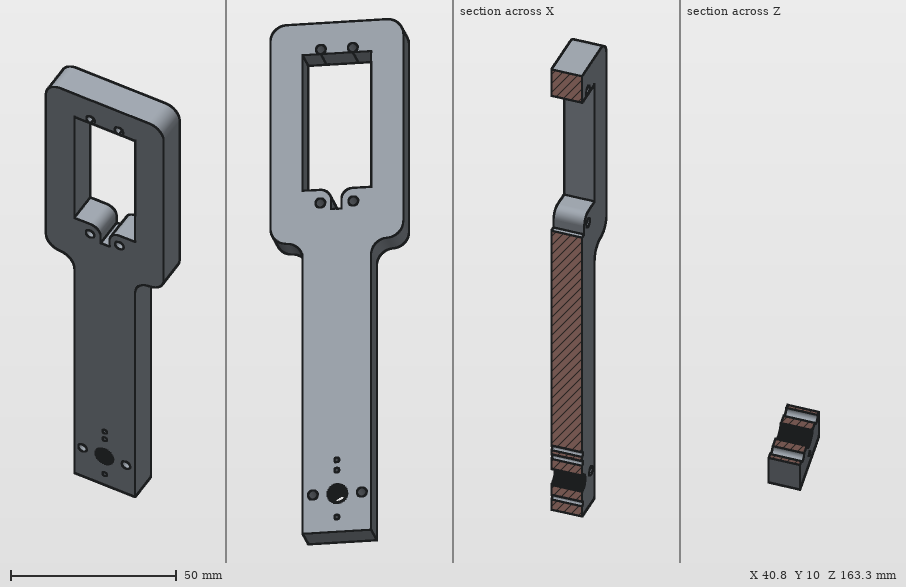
import cadquery as cq
import math

length = 163.3
thickness = 10.0
head_width = 40.8
head_height = 70.0
handle_width = 21.0
corner_radius = 5.0
end_rise = 0.05

window_width = handle_width
window_top = 10.0
window_bottom = 53.4

notch_width = 3.1
notch_offset = 0.2
notch_bottom = 59.8
notch_mouth_radius = 3.5

screw_hole_diameter = 3.0
upper_screw_spacing = 9.8
lower_screw_spacing = 10.1
upper_screw_drop = 8.5
lower_screw_drop = 57.6

drive_height = 12.2
drive_offset = -0.2
drive_root_diameter = 6.0
drive_tip_diameter = 5.4
tooth_count = 30
side_hole_spacing = 15.0
pin_hole_diameter = 1.5
pin_offsets = (-7.5, 7.5, 10.8)


def plate_outline():
    """Front outline of the head and handle, with the origin at the middle of the lower end."""
    half_head = head_width / 2
    half_handle = handle_width / 2
    shoulder = length - head_height
    r = corner_radius
    return (
        cq.Workplane("XZ")
        .moveTo(-half_handle, 0)
        .lineTo(half_handle, 0)
        .lineTo(half_handle, shoulder - r)
        .radiusArc((half_handle + r, shoulder), r)
        .radiusArc((half_head, shoulder + r), -r)
        .lineTo(half_head, length - r)
        .radiusArc((half_head - r, length), -r)
        .lineTo(-half_head + r, length)
        .radiusArc((-half_head, length - r), -r)
        .lineTo(-half_head, shoulder + r)
        .radiusArc((-half_handle - r, shoulder), -r)
        .radiusArc((-half_handle, shoulder - r), r)
        .close()
    )


def window_cutter():
    """Window with the notch below it; the notch mouth is rounded on both sides."""
    half_window = window_width / 2
    left = notch_offset - notch_width / 2
    right = notch_offset + notch_width / 2
    top = length - window_top
    sill = length - window_bottom
    floor = length - notch_bottom
    r = notch_mouth_radius
    return (
        cq.Workplane("XZ")
        .moveTo(-half_window, top)
        .lineTo(half_window, top)
        .lineTo(half_window, sill)
        .lineTo(right + r, sill)
        .radiusArc((right, sill - r), -r)
        .lineTo(right, floor)
        .lineTo(left, floor)
        .lineTo(left, sill - r)
        .radiusArc((left - r, sill), -r)
        .lineTo(-half_window, sill)
        .close()
        .extrude(-thickness)
    )


def round_holes(centres, diameter):
    """Cutters for round through holes at (x, z) centres."""
    return cq.Workplane("XZ").pushPoints(centres).circle(diameter / 2).extrude(-thickness)


def drive_hole():
    """Toothed through hole for a splined shaft."""
    points = []
    for i in range(2 * tooth_count):
        radius = (drive_root_diameter if i % 2 == 0 else drive_tip_diameter) / 2
        angle = math.pi * i / tooth_count
        points.append((drive_offset + radius * math.cos(angle), drive_height + radius * math.sin(angle)))
    return cq.Workplane("XZ").polyline(points).close().extrude(-thickness)


def end_cutter():
    """Thin wedge that slopes the lower end face up towards the front."""
    return (
        cq.Workplane("YZ")
        .polyline([(0, 0), (thickness, 0), (0, end_rise)])
        .close()
        .extrude(handle_width / 2, both=True)
    )


screw_centres = [
    (side * spacing / 2, length - drop)
    for side in (-1, 1)
    for spacing, drop in (
        (upper_screw_spacing, upper_screw_drop),
        (lower_screw_spacing, lower_screw_drop),
    )
]
side_centres = [(drive_offset + side * side_hole_spacing / 2, drive_height) for side in (-1, 1)]
pin_centres = [(0, drive_height + offset) for offset in pin_offsets]

result = (
    plate_outline()
    .extrude(-thickness)
    .cut(window_cutter())
    .cut(round_holes(screw_centres + side_centres, screw_hole_diameter))
    .cut(round_holes(pin_centres, pin_hole_diameter))
    .cut(drive_hole())
    .cut(end_cutter())
)